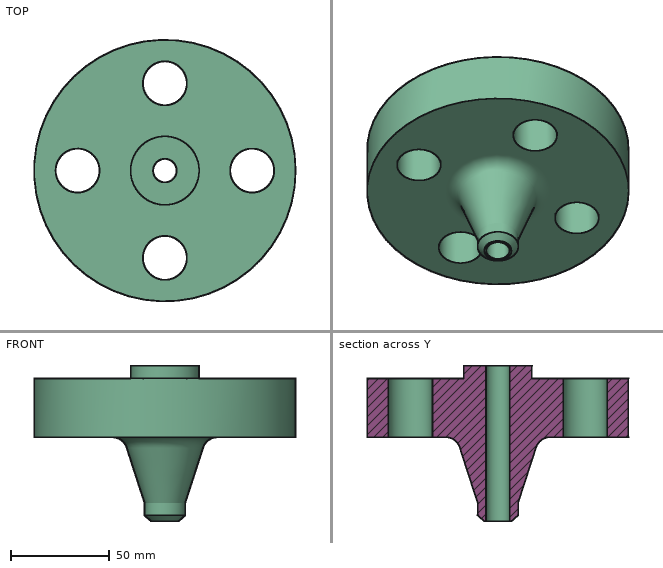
import cadquery as cq
import math

flange_diameter = 133.4
flange_thickness = 30.1
face_diameter = 35.0
face_height = 6.4
bore_diameter = 11.9

bolt_count = 4
bolt_circle_diameter = 89.0
bolt_hole_diameter = 22.3

overall_height = 79.3
neck_length = overall_height - flange_thickness - face_height
neck_end_radius = 10.4
neck_end_length = 9.5
bevel_height = 3.1
bevel_width = 3.5
taper_angle = 18.0
root_fillet = 7.3

taper_height = neck_length - neck_end_length
neck_root_radius = neck_end_radius + taper_height * math.tan(math.radians(taper_angle))


def make_neck():
    """Tapered neck with a short straight end and a bevelled tip."""
    profile = (
        cq.Workplane("XZ")
        .moveTo(0, 0)
        .lineTo(neck_root_radius, 0)
        .lineTo(neck_end_radius, -taper_height)
        .lineTo(neck_end_radius, -neck_length + bevel_height)
        .lineTo(neck_end_radius - bevel_width, -neck_length)
        .lineTo(0, -neck_length)
        .close()
    )
    return profile.revolve(360, (0, 0, 0), (0, 1, 0))


def make_flange():
    """Flange disc with its raised face on top."""
    disc = cq.Workplane("XY").circle(flange_diameter / 2).extrude(flange_thickness)
    return disc.faces(">Z").workplane().circle(face_diameter / 2).extrude(face_height)


body = make_flange().union(make_neck())

underside = body.faces(cq.selectors.NearestToPointSelector((0, 0, 0)))
root_edge = underside.edges(cq.selectors.RadiusNthSelector(0))
body = root_edge.fillet(root_fillet)

bore = (
    cq.Workplane("XY")
    .workplane(offset=-neck_length)
    .circle(bore_diameter / 2)
    .extrude(overall_height)
)
bolt_holes = (
    cq.Workplane("XY")
    .polarArray(bolt_circle_diameter / 2, 0, 360, bolt_count)
    .circle(bolt_hole_diameter / 2)
    .extrude(flange_thickness)
)
result = body.cut(bore).cut(bolt_holes)